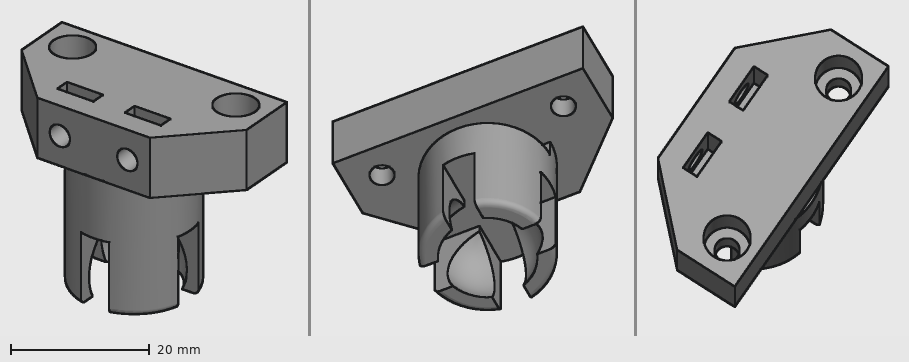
import cadquery as cq

plate_length = 40.0
plate_depth = 20.0
plate_thickness = 10.0
corner_cut = 10.0

socket_diameter = 20.0
socket_height = 22.0
socket_edge_fillet = 1.0
relief_height = 3.0
slot_width = 5.0
slot_height = 12.0
ball_radius = 8.0
ball_center_z = 3.5

mount_spacing = 29.0
mount_y = 5.0
mount_hole_diameter = 3.6
counterbore_diameter = 6.8
counterbore_depth = 6.0

screw_spacing = 12.0
screw_hole_diameter = 3.6
nut_pocket_width = 6.4
nut_pocket_thickness = 2.4
nut_pocket_y = -4.95

plate_top_z = socket_height + plate_thickness
screw_z = socket_height + plate_thickness / 2
nut_pocket_depth = plate_top_z - screw_z + nut_pocket_width / 2


def make_plate():
    half_length = plate_length / 2
    half_depth = plate_depth / 2
    outline = [
        (-half_length, half_depth),
        (half_length, half_depth),
        (half_length, -half_depth + corner_cut),
        (half_length - corner_cut, -half_depth),
        (-half_length + corner_cut, -half_depth),
        (-half_length, -half_depth + corner_cut),
    ]
    plate = cq.Workplane("XY").workplane(offset=socket_height)
    return plate.polyline(outline).close().extrude(plate_thickness)


def make_socket():
    socket = cq.Workplane("XY").circle(socket_diameter / 2).extrude(socket_height)
    socket = socket.faces("<Z").edges().fillet(socket_edge_fillet)

    ball = cq.Workplane("XY").sphere(ball_radius).translate((0, 0, ball_center_z))
    socket = socket.cut(ball)

    for length_x, length_y in [(socket_diameter, slot_width), (slot_width, socket_diameter)]:
        slot = cq.Workplane("XY").rect(length_x, length_y).extrude(slot_height)
        socket = socket.cut(slot)

    relief = (
        cq.Workplane("XY")
        .workplane(offset=socket_height - relief_height)
        .center(0, socket_diameter / 4)
        .rect(socket_diameter, socket_diameter / 2)
        .extrude(relief_height)
    )
    return socket.cut(relief)


def cut_mounting_holes(plate):
    return (
        plate.faces(">Z")
        .workplane(origin=(0, 0, plate_top_z))
        .pushPoints([(-mount_spacing / 2, mount_y), (mount_spacing / 2, mount_y)])
        .cboreHole(mount_hole_diameter, counterbore_diameter, counterbore_depth)
    )


def cut_screw_holes(plate):
    hole_length = plate_depth / 2 + nut_pocket_y
    for x in (-screw_spacing / 2, screw_spacing / 2):
        hole = (
            cq.Workplane("XZ", origin=(x, -plate_depth / 2, screw_z))
            .circle(screw_hole_diameter / 2)
            .extrude(-hole_length)
        )
        pocket = (
            cq.Workplane("XY", origin=(x, nut_pocket_y, plate_top_z))
            .rect(nut_pocket_width, nut_pocket_thickness)
            .extrude(-nut_pocket_depth)
        )
        plate = plate.cut(hole).cut(pocket)
    return plate


plate = cut_screw_holes(cut_mounting_holes(make_plate()))
result = plate.union(make_socket())